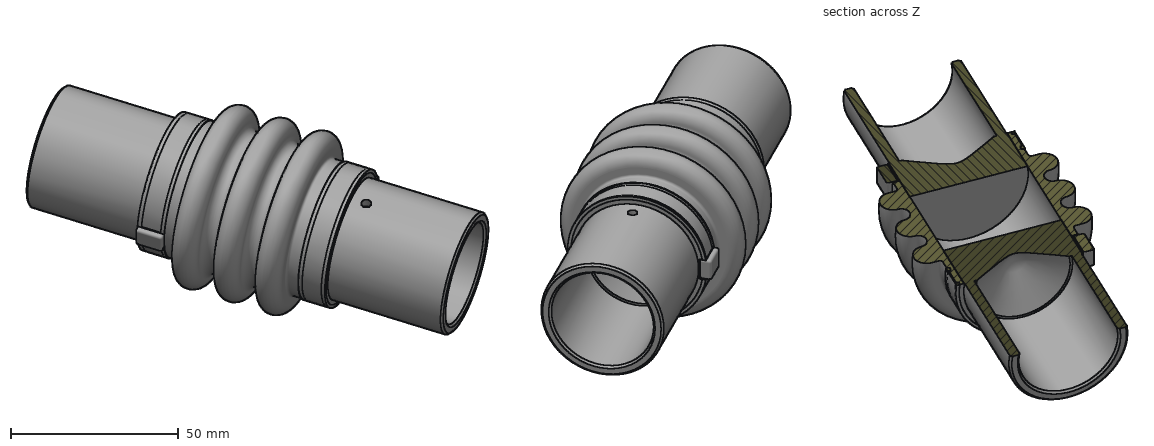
import cadquery as cq
import math

OVERALL_LENGTH = 133.4

HUB_RADIUS = 19.1
HUB_INNER_END = 13.3
HUB_CHAMFER = 0.7
BORE_RADIUS = 15.9
BORE_CHAMFER = 0.7
BORE_FLOOR = 30.0
DRILL_RADIUS = 15.1
DRILL_TIP_ANGLE = 118.0
HOLE_RADIUS = 1.5
HOLE_X = 34.8

RIB_COUNT = 3
RIB_PITCH = 13.3
RIB_ROUND = 4.1
RIB_CREST_DIAMETER = 57.2
CUFF_RADIUS = 21.3
CUFF_END = 30.0
CUFF_FILLET = 0.8

BAND_WIDTH = 8.5
BAND_OUTER_RADIUS = 21.6
LIP_INNER_RADIUS = 20.5
LIP_WIDTH = 1.2

BUCKLE_BASE_RADIUS = 19.3
BUCKLE_HEIGHT = 3.7
BUCKLE_WIDTH = 6.7
BUCKLE_FILLET = 0.8

END_TURNS = (0, 180)

HUB_OUTER_END = OVERALL_LENGTH / 2
RIB_CREST_RADIUS = RIB_CREST_DIAMETER / 2
RIB_CENTRE_RADIUS = RIB_CREST_RADIUS - RIB_ROUND
VALLEY_ROUND = RIB_PITCH / 2 - RIB_ROUND
OUTER_FLANK = (RIB_COUNT - 1) / 2 * RIB_PITCH + RIB_ROUND
BAND_INNER_END = CUFF_END - BAND_WIDTH
BAND_CENTRE = CUFF_END - BAND_WIDTH / 2


def revolve_about_x(profile):
    """Revolve a closed (x, radius) profile in the XY plane about the X axis."""
    return profile.close().revolve(360, (0, 0, 0), (1, 0, 0))


def at_end(body, turn):
    """Turn a body of the +X end about Z: 0 degrees keeps it, 180 degrees puts it on the -X end."""
    return body.rotate((0, 0, 0), (0, 0, 1), turn)


def make_ring(start, end, inner_radius, outer_radius):
    profile = (
        cq.Workplane("XY")
        .moveTo(start, inner_radius)
        .lineTo(end, inner_radius)
        .lineTo(end, outer_radius)
        .lineTo(start, outer_radius)
    )
    return revolve_about_x(profile)


def make_hub():
    """Hub of the +X end, with a blind drilled bore open at its outer end."""
    tip_depth = DRILL_RADIUS / math.tan(math.radians(DRILL_TIP_ANGLE / 2))
    profile = (
        cq.Workplane("XY")
        .moveTo(HUB_INNER_END, 0)
        .lineTo(HUB_INNER_END, HUB_RADIUS)
        .lineTo(HUB_OUTER_END - HUB_CHAMFER, HUB_RADIUS)
        .lineTo(HUB_OUTER_END, HUB_RADIUS - HUB_CHAMFER)
        .lineTo(HUB_OUTER_END, BORE_RADIUS + BORE_CHAMFER)
        .lineTo(HUB_OUTER_END - BORE_CHAMFER, BORE_RADIUS)
        .lineTo(BORE_FLOOR, BORE_RADIUS)
        .lineTo(BORE_FLOOR, DRILL_RADIUS)
        .lineTo(BORE_FLOOR - tip_depth, 0)
    )
    return revolve_about_x(profile)


def make_radial_hole():
    """Cutter for the hole through the top wall of the +X hub."""
    return cq.Workplane("XY").center(HOLE_X, 0).circle(HOLE_RADIUS).extrude(HUB_RADIUS)


def make_band():
    """Clamp band of the +X end."""
    strip = make_ring(BAND_INNER_END, CUFF_END, LIP_INNER_RADIUS, BAND_OUTER_RADIUS)
    channel = make_ring(
        BAND_INNER_END + LIP_WIDTH, CUFF_END - LIP_WIDTH, LIP_INNER_RADIUS, CUFF_RADIUS
    )
    return strip.cut(channel)


def make_buckle_block():
    """Plain block filled by the buckle, on the +Y side of the +X hub."""
    return (
        cq.Workplane("XY")
        .box(BAND_WIDTH, BUCKLE_HEIGHT, BUCKLE_WIDTH)
        .translate((BAND_CENTRE, BUCKLE_BASE_RADIUS + BUCKLE_HEIGHT / 2, 0))
    )


def make_buckle():
    return make_buckle_block().edges().fillet(BUCKLE_FILLET)


def make_bellows_blank():
    """Bellows before the band seats are cut: ribs, two plain cuffs, and a bore that fits the hubs."""
    profile = (
        cq.Workplane("XY")
        .moveTo(-CUFF_END, HUB_RADIUS)
        .lineTo(-CUFF_END, CUFF_RADIUS)
        .lineTo(-OUTER_FLANK - CUFF_FILLET, CUFF_RADIUS)
        .radiusArc((-OUTER_FLANK, CUFF_RADIUS + CUFF_FILLET), -CUFF_FILLET)
        .lineTo(-OUTER_FLANK, RIB_CENTRE_RADIUS)
    )
    for rib in range(RIB_COUNT):
        rib_x = (rib - (RIB_COUNT - 1) / 2) * RIB_PITCH
        if rib > 0:
            valley_x = rib_x - RIB_PITCH / 2
            profile = profile.threePointArc(
                (valley_x, RIB_CENTRE_RADIUS - VALLEY_ROUND),
                (rib_x - RIB_ROUND, RIB_CENTRE_RADIUS),
            )
        profile = profile.threePointArc(
            (rib_x, RIB_CREST_RADIUS),
            (rib_x + RIB_ROUND, RIB_CENTRE_RADIUS),
        )
    profile = (
        profile
        .lineTo(OUTER_FLANK, CUFF_RADIUS + CUFF_FILLET)
        .radiusArc((OUTER_FLANK + CUFF_FILLET, CUFF_RADIUS), -CUFF_FILLET)
        .lineTo(CUFF_END, CUFF_RADIUS)
        .lineTo(CUFF_END, HUB_RADIUS)
    )
    return revolve_about_x(profile)


uncut_band = make_band()
buckle_pocket = make_buckle_block()
bellows = make_bellows_blank()
hubs = []
bands = []
buckles = []
for turn in END_TURNS:
    hubs.append(at_end(make_hub(), turn))
    bands.append(at_end(uncut_band.cut(buckle_pocket), turn))
    buckles.append(at_end(make_buckle(), turn))
    bellows = bellows.cut(at_end(uncut_band, turn)).cut(at_end(buckle_pocket, turn))

hubs[0] = hubs[0].cut(make_radial_hole())

result = cq.Compound.makeCompound(
    [bellows.val()] + [body.val() for body in hubs + bands + buckles]
)